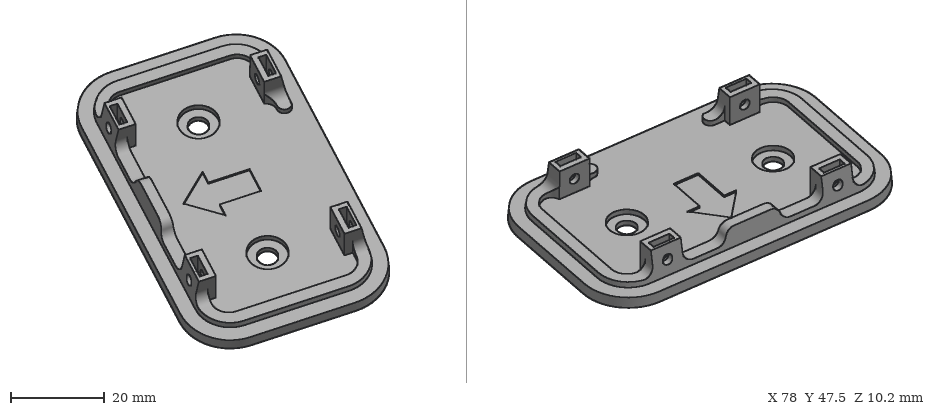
import cadquery as cq
import math

length = 78.0
width = 47.5
base_height = 2.65
corner_radius = 11.7
base_draft = 5.0

rim_inset = 3.7
rim_draft = 10.0
rim_top = 4.0
rim_inner_length = 64.3
rim_inner_width = 33.5
rim_inner_radius = 4.05

total_height = 10.15
tower_width = 7.8
tower_x = 22.2
tower_inner_y = 14.8
flare_radius = 2.6
screw_radius = 1.25
screw_z = 6.4
nut_across_flats = 5.4
nut_slot_thickness = 1.8
nut_y = 17.2

hump_top = 7.6
hump_flat_length = 9.4

mount_x = 19.1
mount_radius = 2.35
counterbore_radius = 4.5
counterbore_depth = 1.3

arrow_depth = 0.5
arrow_top = 5.15
arrow_shoulder = -4.4
arrow_tip = -11.5
arrow_stem_half = 3.2
arrow_head_half = 6.4

rim_length = length - 2 * rim_inset
rim_width = width - 2 * rim_inset
rim_inner_y = rim_inner_width / 2
tower_inner_x = tower_x - tower_width / 2


def rounded_rectangle(size_x, size_y, radius, z):
    sketch = cq.Sketch().rect(size_x, size_y).vertices().fillet(radius)
    return cq.Workplane("XY", origin=(0, 0, z)).placeSketch(sketch)


def box(x_min, x_max, y_min, y_max, z_min, z_max):
    size = (x_max - x_min, y_max - y_min, z_max - z_min)
    return cq.Workplane("XY", origin=(x_min, y_min, z_min)).box(*size, centered=False)


def across_width(profile):
    """Extrude a closed XZ profile through the full width of the part."""
    return profile.close().extrude(width / 2, both=True)


def tower_skyline(x):
    """Tower outline with a concave flare down to the rim on both sides."""
    half = tower_width / 2
    foot = half + flare_radius
    flare_top = rim_top + flare_radius
    profile = (
        cq.Workplane("XZ", origin=(x, 0, 0))
        .moveTo(-foot, base_height)
        .lineTo(-foot, rim_top)
        .radiusArc((-half, flare_top), -flare_radius)
        .lineTo(-half, total_height)
        .lineTo(half, total_height)
        .lineTo(half, flare_top)
        .radiusArc((foot, rim_top), -flare_radius)
        .lineTo(foot, base_height)
    )
    return across_width(profile)


def hump_skyline():
    """Hump outline whose sides are two equal, opposite, tangent arcs."""
    rise = hump_top - rim_top
    sweep = math.acos(1 - rise / (2 * flare_radius))
    half_top = hump_flat_length / 2
    half_middle = half_top + flare_radius * math.sin(sweep)
    half_foot = half_top + 2 * flare_radius * math.sin(sweep)
    middle_z = rim_top + rise / 2
    profile = (
        cq.Workplane("XZ")
        .moveTo(-half_foot, base_height)
        .lineTo(-half_foot, rim_top)
        .radiusArc((-half_middle, middle_z), -flare_radius)
        .radiusArc((-half_top, hump_top), flare_radius)
        .lineTo(half_top, hump_top)
        .radiusArc((half_middle, middle_z), flare_radius)
        .radiusArc((half_foot, rim_top), -flare_radius)
        .lineTo(half_foot, base_height)
    )
    return across_width(profile)


def base_plate():
    plate = rounded_rectangle(length, width, corner_radius, 0)
    return plate.extrude(base_height, taper=base_draft)


def rim_block():
    """Solid drafted block that bounds the rim, the towers and the hump."""
    block = rounded_rectangle(rim_length, rim_width, corner_radius - rim_inset, base_height)
    return block.extrude(total_height - base_height, taper=rim_draft)


def back_gap():
    """Opening in the back rim that leaves a rounded tongue beside each tower."""
    tongue_radius = (rim_width / 2 - rim_inner_y) / 2
    tongue_x = tower_inner_x - flare_radius
    gap = box(-tongue_x, tongue_x, 0, width / 2, base_height, total_height)
    tongues = (
        cq.Workplane("XY", origin=(0, rim_inner_y + tongue_radius, base_height))
        .pushPoints([(-tongue_x, 0), (tongue_x, 0)])
        .circle(tongue_radius)
        .extrude(total_height)
    )
    return gap.cut(tongues)


def back_left_webs():
    """Concave webs blending the back left tower into the inner wall of the rim."""
    half = tower_width / 2
    foot = half + flare_radius
    arc_center_y = rim_inner_y - flare_radius
    arc_end = foot - math.sqrt(flare_radius ** 2 - (tower_inner_y - arc_center_y) ** 2)
    footprint = (
        cq.Workplane("XY", origin=(-tower_x, 0, base_height))
        .moveTo(-foot, rim_inner_y)
        .radiusArc((-arc_end, tower_inner_y), flare_radius)
        .lineTo(arc_end, tower_inner_y)
        .radiusArc((foot, rim_inner_y), flare_radius)
        .close()
    )
    return footprint.extrude(total_height - base_height).intersect(tower_skyline(-tower_x))


def rim_and_towers():
    block = rim_block()
    skyline = box(-length / 2, length / 2, -width / 2, width / 2, base_height, rim_top)
    skyline = skyline.union(hump_skyline())
    for x in (-tower_x, tower_x):
        skyline = skyline.union(tower_skyline(x))
    inside = rounded_rectangle(rim_inner_length, rim_inner_width, rim_inner_radius, base_height)
    rim = block.cut(inside.extrude(total_height)).intersect(skyline).cut(back_gap())

    half = tower_width / 2
    for x in (-tower_x, tower_x):
        column = box(x - half, x + half, -width / 2, width / 2, base_height, total_height)
        space = box(x - half, x + half, -tower_inner_y, tower_inner_y, base_height, total_height)
        rim = rim.union(column.cut(space).intersect(block))
    return rim.union(back_left_webs())


def nut_slot(x, y):
    """Slot open at the top whose floor is the pointed end of a hexagonal nut."""
    half = nut_across_flats / 2
    point_z = screw_z - nut_across_flats / math.sqrt(3)
    corner_z = screw_z - half / math.sqrt(3)
    profile = cq.Workplane("XZ", origin=(x, y, 0)).polyline([
        (0, point_z),
        (half, corner_z),
        (half, total_height),
        (-half, total_height),
        (-half, corner_z),
    ])
    return profile.close().extrude(nut_slot_thickness / 2, both=True)


def screw_holes():
    holes = cq.Workplane("XZ").pushPoints([(-tower_x, screw_z), (tower_x, screw_z)])
    return holes.circle(screw_radius).extrude(width / 2, both=True)


def mounting_holes():
    centers = [(-mount_x, 0), (mount_x, 0)]
    holes = cq.Workplane("XY").pushPoints(centers).circle(mount_radius).extrude(base_height)
    floor = cq.Workplane("XY", origin=(0, 0, base_height)).pushPoints(centers)
    return holes.union(floor.circle(counterbore_radius).extrude(-counterbore_depth))


def arrow():
    outline = cq.Workplane("XY", origin=(0, 0, base_height)).polyline([
        (-arrow_stem_half, arrow_top),
        (arrow_stem_half, arrow_top),
        (arrow_stem_half, arrow_shoulder),
        (arrow_head_half, arrow_shoulder),
        (0, arrow_tip),
        (-arrow_head_half, arrow_shoulder),
        (-arrow_stem_half, arrow_shoulder),
    ])
    return outline.close().extrude(-arrow_depth)


result = base_plate().union(rim_and_towers())
for side_x in (-tower_x, tower_x):
    for side_y in (-nut_y, nut_y):
        result = result.cut(nut_slot(side_x, side_y))
result = result.cut(screw_holes()).cut(mounting_holes()).cut(arrow())